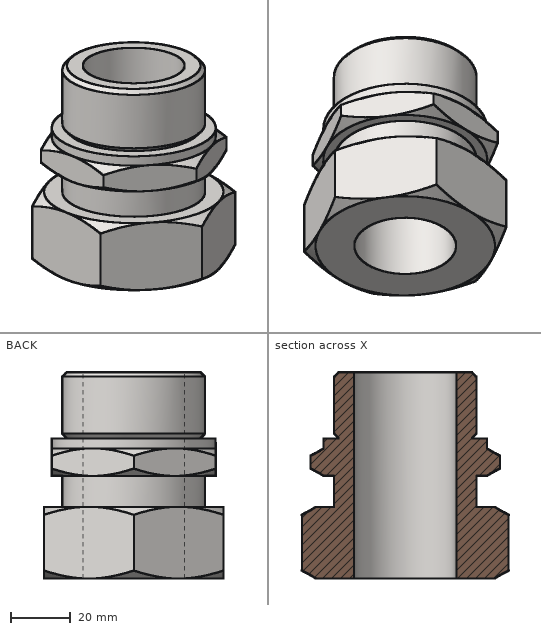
import cadquery as cq
import math

half_corner_angle = 30.0
hex_flat_ratio = math.cos(math.radians(half_corner_angle))
nut_corners = 69.3
nut_height = 24.0
nut_flats = nut_corners * hex_flat_ratio
collar_diameter = 54.9
body_hex_flats = collar_diameter
hex_chamfer_angle = 30.0

body_hex_bottom = 34.3
body_hex_top = 43.5
collar_top = 46.8
total_height = 69.0

stem_diameter = 47.8
stem_end_diameter = 44.7
bore_diameter = 34.0

stem_chamfer = (stem_diameter - stem_end_diameter) / 2


def cylinder(diameter, bottom, top):
    return cq.Workplane("XY").workplane(offset=bottom).circle(diameter / 2).extrude(top - bottom)


def chamfered_hex(flats, bottom, top):
    """Hexagonal prism whose corners are turned off by a cone at both ends."""
    corner_radius = flats / 2 / hex_flat_ratio
    drop = (corner_radius - flats / 2) * math.tan(math.radians(hex_chamfer_angle))
    prism = (
        cq.Workplane("XY")
        .workplane(offset=bottom)
        .polygon(6, 2 * corner_radius)
        .extrude(top - bottom)
        .rotate((0, 0, 0), (0, 0, 1), half_corner_angle)
    )
    turned_blank = (
        cq.Workplane("XZ")
        .moveTo(0, bottom)
        .lineTo(flats / 2, bottom)
        .lineTo(corner_radius, bottom + drop)
        .lineTo(corner_radius, top - drop)
        .lineTo(flats / 2, top)
        .lineTo(0, top)
        .close()
        .revolve(360, (0, 0, 0), (0, 1, 0))
    )
    return prism.intersect(turned_blank)


nut = chamfered_hex(nut_flats, 0, nut_height)
neck = cylinder(stem_diameter, nut_height, body_hex_bottom)
body_hex = chamfered_hex(body_hex_flats, body_hex_bottom, body_hex_top)
collar = cylinder(collar_diameter, body_hex_top, collar_top)

stem = cylinder(stem_diameter, collar_top, total_height).faces("<Z or >Z").chamfer(stem_chamfer)

bore = cylinder(bore_diameter, 0, total_height)

result = nut.union(neck).union(body_hex).union(collar).union(stem).cut(bore)